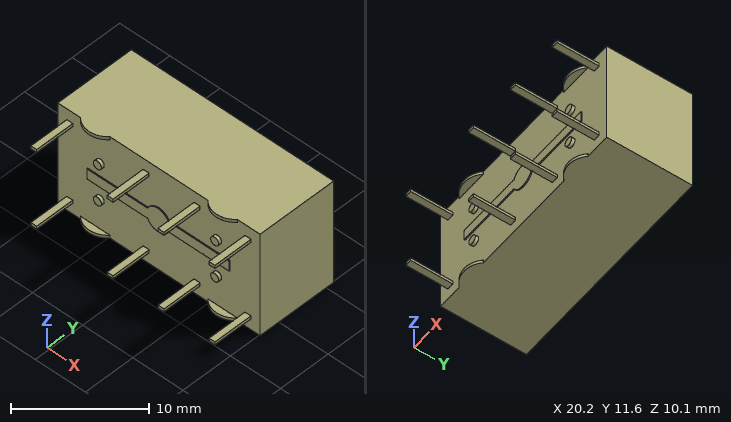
import cadquery as cq

case_length = 20.2
case_depth = 7.76
case_width = 10.1

grid = 2.54
pin_columns = [-3.5 * grid, -0.5 * grid, 1.5 * grid, 3.5 * grid]
pin_row_offset = 1.5 * grid
pin_width = 0.6
pin_thickness = 0.3
pin_length = 3.8

foot_offset = 2.5 * grid
foot_radius = 2.0
foot_height = 0.64
foot_thickness = 0.3

stud_offset_x = 5.85
stud_offset_z = 1.8
stud_diameter = 0.8
stud_height = 0.3

rib_length = 14.2
rib_width = 1.0
rib_disc_diameter = 2.3
rib_height = 0.1

both_sides = (-1, 1)


def make_case():
    """Plain rectangular case behind the underside plane."""
    return cq.Workplane("XY").box(
        case_length, case_depth, case_width, centered=(True, False, True)
    )


def underside():
    """Workplane on the underside: local X is +X, local Y is +Z, extrusion is toward -Y."""
    return cq.Workplane("XZ")


def make_pins():
    """Two rows of rectangular terminal pins."""
    positions = [(x, side * pin_row_offset) for side in both_sides for x in pin_columns]
    return underside().pushPoints(positions).rect(pin_width, pin_thickness).extrude(pin_length)


def make_foot(x, side):
    """Circular-segment standoff foot, flush with one long edge of the case."""
    outer_z = side * case_width / 2
    centre_y = foot_radius - foot_height
    half_chord = (foot_radius**2 - centre_y**2) ** 0.5
    return (
        cq.Workplane("XY", origin=(x, 0, outer_z))
        .moveTo(-half_chord, 0)
        .threePointArc((0, -foot_height), (half_chord, 0))
        .close()
        .extrude(-side * foot_thickness)
    )


def make_studs():
    """Four short round studs."""
    positions = [(i * stud_offset_x, j * stud_offset_z) for i in both_sides for j in both_sides]
    return underside().pushPoints(positions).circle(stud_diameter / 2).extrude(stud_height)


def make_rib():
    """Low central rib with a disc at its middle."""
    bar = underside().rect(rib_length, rib_width).extrude(rib_height)
    disc = underside().circle(rib_disc_diameter / 2).extrude(rib_height)
    return bar.union(disc)


def make_feet():
    """Two feet along each long edge of the case."""
    feet = cq.Workplane("XY")
    for side in both_sides:
        for column in both_sides:
            feet = feet.add(make_foot(column * foot_offset, side))
    return feet.combine()


result = make_case()
for feature in (make_pins(), make_studs(), make_rib(), make_feet()):
    result = result.union(feature)